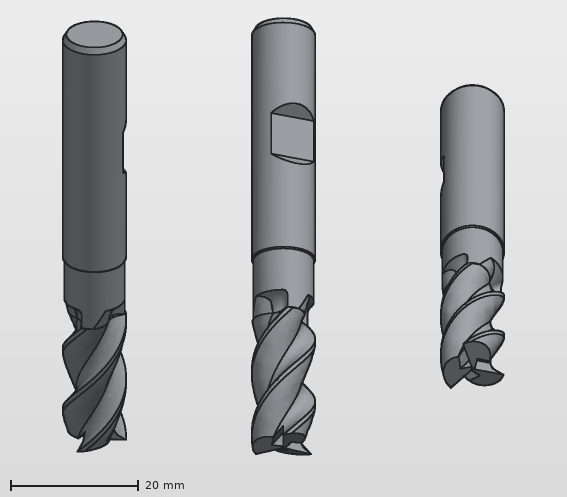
import cadquery as cq
import math

tool_length = 72.0
tool_diameter = 10.0
tool_radius = tool_diameter / 2
neck_diameter = 9.6
neck_radius = neck_diameter / 2
neck_top = 32.4
neck_step = tool_radius - neck_radius
shank_chamfer_width = 0.6
shank_chamfer_height = 1.0

flat_depth = 1.65
flat_bottom = 46.95
flat_top = 57.25

cutter_length = 22.1
flute_count = 3
flute_pitch = 360 / flute_count
helix_lead = 32.1
edge_angle_at_tip = 65.0
land_angle = 11.0
back_mid_radius = 4.1
back_mid_angle = 45.0
core_radius = 2.9
core_angle = 77.0
flute_mid_radius = 3.1
flute_mid_angle = 101.0
rake_radius = 4.2
rake_angle = 114.0

runout_height = 3.0
runout_twist = 24.0
runout_fillet = 0.9
runout_depth = neck_radius - core_radius
runout_radius = (runout_depth**2 + runout_height**2) / (2 * runout_depth)

gash_height = 2.5
gash_width = 2.15
gash_start = 0.35
clearance_width = 4.3
clearance_rise = 1.15

overcut = 1.45
overcut_radius = tool_radius + overcut


def twist_over(height):
    """Helix rotation in degrees over a height."""
    return 360 * height / helix_lead


def polar(radius, angle):
    return (radius * math.cos(math.radians(angle)), radius * math.sin(math.radians(angle)))


def add_cutter_outline(sketch, edge_angle):
    """Closed cross-section: land, convex back and concave flute for each tooth."""
    sketch = sketch.moveTo(*polar(tool_radius, edge_angle))
    for tooth in range(flute_count):
        start = edge_angle + tooth * flute_pitch
        sketch = sketch.threePointArc(
            polar(tool_radius, start + land_angle / 2), polar(tool_radius, start + land_angle)
        )
        sketch = sketch.threePointArc(
            polar(back_mid_radius, start + back_mid_angle), polar(core_radius, start + core_angle)
        )
        sketch = sketch.threePointArc(
            polar(flute_mid_radius, start + flute_mid_angle), polar(rake_radius, start + rake_angle)
        )
        sketch = sketch.lineTo(*polar(tool_radius, start + flute_pitch))
    return sketch.close()


def make_end_cut(section, start_radius, angle):
    """Prism along one end edge, from a section in (distance behind the edge, Z)."""
    prism = cq.Workplane("YZ").workplane(offset=start_radius).polyline(section).close()
    return prism.extrude(overcut_radius - start_radius).rotate((0, 0, 0), (0, 0, 1), angle)


def make_cutter():
    outline = add_cutter_outline(cq.Workplane("XY"), edge_angle_at_tip)
    cutter = outline.twistExtrude(cutter_length, twist_over(cutter_length))
    gash_section = [(0, 0), (0, gash_height), (-gash_width, 0)]
    clearance_section = [(0, 0), (clearance_width, clearance_rise), (clearance_width, 0)]
    for tooth in range(flute_count):
        angle = edge_angle_at_tip + tooth * flute_pitch
        cutter = cutter.cut(make_end_cut(gash_section, gash_start, angle))
        cutter = cutter.cut(make_end_cut(clearance_section, 0, angle))
    return cutter


def make_clamping_flat():
    floor_y = tool_radius - flat_depth
    section = [
        (floor_y, flat_bottom + flat_depth),
        (floor_y, flat_top - flat_depth),
        (overcut_radius, flat_top + overcut),
        (overcut_radius, flat_bottom - overcut),
    ]
    return cq.Workplane("YZ").polyline(section).close().extrude(overcut_radius, both=True)


def make_sector(start_angle, end_angle, twist=0):
    """Sector prism over the run-out height, starting on the top face of the cutter."""
    middle_angle = (start_angle + end_angle) / 2
    sector = (
        cq.Workplane("XY")
        .workplane(offset=cutter_length)
        .lineTo(*polar(overcut_radius, start_angle))
        .threePointArc(polar(overcut_radius, middle_angle), polar(overcut_radius, end_angle))
        .close()
    )
    if twist:
        return sector.twistExtrude(runout_height, twist)
    return sector.extrude(runout_height)


def make_flute_runout():
    """Flute spaces continued into the neck, rising out along a circular arc."""
    sweep = math.asin(runout_height / runout_radius)
    arc_middle = (
        core_radius + runout_radius * (1 - math.cos(sweep / 2)),
        cutter_length + runout_radius * math.sin(sweep / 2),
    )
    runout_top = cutter_length + runout_height
    ring = (
        cq.Workplane("XZ")
        .moveTo(core_radius, cutter_length)
        .threePointArc(arc_middle, (neck_radius, runout_top))
        .lineTo(overcut_radius, runout_top)
        .lineTo(overcut_radius, cutter_length)
        .close()
        .revolve(360, (0, 0, 0), (0, 1, 0))
    )
    top_edge_angle = edge_angle_at_tip + twist_over(cutter_length)
    base = cq.Workplane("XY").workplane(offset=cutter_length)
    tooth_backs = add_cutter_outline(base, top_edge_angle).twistExtrude(runout_height, runout_twist)
    for tooth in range(flute_count):
        edge_angle = top_edge_angle + tooth * flute_pitch
        front = make_sector(edge_angle, edge_angle + core_angle)
        back = make_sector(edge_angle - flute_pitch / 3, edge_angle + land_angle, runout_twist)
        ring = ring.cut(front.intersect(back))
        wall_arc_middle = (*polar(arc_middle[0], edge_angle), arc_middle[1])
        wall_arc = ring.edges(cq.NearestToPointSelector(wall_arc_middle))
        ring = wall_arc.fillet(runout_fillet)
        ring = ring.cut(front.intersect(tooth_backs))
    return ring


def make_shank():
    half_section = [
        (0, cutter_length),
        (neck_radius, cutter_length),
        (neck_radius, neck_top - neck_step),
        (tool_radius, neck_top),
        (tool_radius, tool_length - shank_chamfer_height),
        (tool_radius - shank_chamfer_width, tool_length),
        (0, tool_length),
    ]
    shank = cq.Workplane("XZ").polyline(half_section).close().revolve(360, (0, 0, 0), (0, 1, 0))
    return shank.cut(make_clamping_flat()).cut(make_flute_runout())


shank = make_shank()
cutter = make_cutter()

result = cq.Compound.makeCompound([shank.val(), cutter.val()])